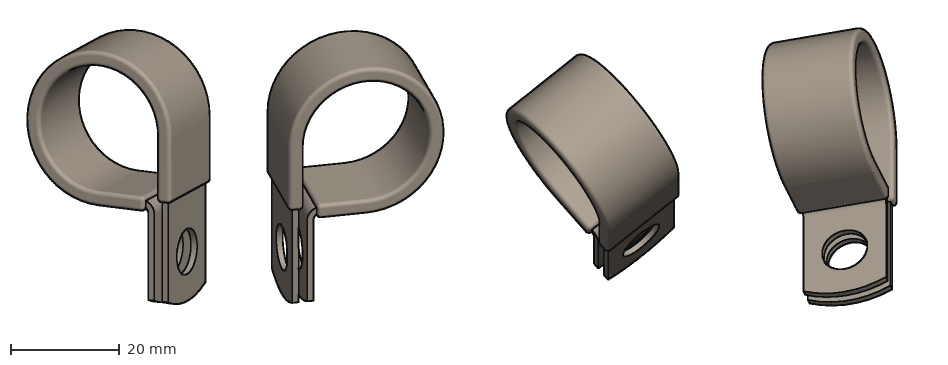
import cadquery as cq
import math

overall_height = 47.95
loop_outer_diameter = 29.4
loop_outer_radius = loop_outer_diameter / 2
cushion_thickness = 2.8
cushion_width = 17.45
edge_radius = 0.75
upright_end_z = -12.6
level_end_x = 9.3

strap_thickness = cushion_thickness - 2 * edge_radius
strap_width = 15.85
tab_x = 10.45
bend_inner_radius = 1.2
tab_bottom_z = loop_outer_radius - overall_height
tab_end_sagitta = 1.75
hole_diameter = 8.65
hole_z = -23.8

mid_radius = loop_outer_radius - cushion_thickness / 2
bend_mid_radius = bend_inner_radius + strap_thickness / 2
bend_start_x = tab_x - bend_mid_radius
bend_end_z = -mid_radius - bend_mid_radius


def box_between(x_min, x_max, z_min, z_max, width):
    """Box centred on Y = 0."""
    return (
        cq.Workplane("XY")
        .box(x_max - x_min, width, z_max - z_min)
        .translate(((x_min + x_max) / 2, 0, (z_min + z_max) / 2))
    )


def box_edges(body, x_min, x_max, z_min, z_max):
    """Edges of the body whose centres lie in the given X and Z ranges."""
    margin = 0.05
    return body.edges(cq.selectors.BoxSelector(
        (x_min - margin, -cushion_width, z_min - margin),
        (x_max + margin, cushion_width, z_max + margin),
    ))


def make_cushion():
    """Three-quarter loop with two straight legs and all its edges rounded."""
    outer = loop_outer_radius
    inner = outer - cushion_thickness
    diagonal = math.sqrt(0.5)
    profile = (
        cq.Workplane("XZ")
        .moveTo(outer, upright_end_z)
        .lineTo(outer, 0)
        .threePointArc((-outer * diagonal, outer * diagonal), (0, -outer))
        .lineTo(level_end_x, -outer)
        .lineTo(level_end_x, -inner)
        .lineTo(0, -inner)
        .threePointArc((-inner * diagonal, inner * diagonal), (inner, 0))
        .lineTo(inner, upright_end_z)
        .close()
    )
    body = profile.extrude(cushion_width / 2, both=True)
    side_edges = body.faces("<Y or >Y").edges()
    upright_end = box_edges(body, inner, outer, upright_end_z, upright_end_z)
    level_end = box_edges(body, level_end_x, level_end_x, -outer, -inner)
    return side_edges.add(upright_end).add(level_end).fillet(edge_radius)


def make_strap_ends():
    """Straight tab and bent tab, starting inside the cushion legs."""
    half = strap_thickness / 2
    straight_tab = box_between(
        mid_radius - half, mid_radius + half, tab_bottom_z, upright_end_z + 2 * edge_radius, strap_width
    )
    bent_tab = box_between(tab_x - half, tab_x + half, tab_bottom_z, bend_end_z, strap_width)
    bend_ring = (
        cq.Workplane("XZ")
        .center(bend_start_x, bend_end_z)
        .circle(bend_mid_radius + half)
        .circle(bend_inner_radius)
        .extrude(strap_width / 2, both=True)
    )
    bend_quarter = box_between(bend_start_x, tab_x + half, bend_end_z, -mid_radius + half, strap_width)
    return straight_tab.union(bent_tab).union(bend_ring.intersect(bend_quarter))


def make_tab_outline():
    """Side outline of the strap ends, with an arched bottom and the bolt hole."""
    half_width = strap_width / 2
    corner_z = tab_bottom_z + tab_end_sagitta
    outline = (
        cq.Workplane("YZ")
        .moveTo(-half_width, 0)
        .lineTo(-half_width, corner_z)
        .threePointArc((0, tab_bottom_z), (half_width, corner_z))
        .lineTo(half_width, 0)
        .close()
        .extrude(loop_outer_radius)
    )
    hole = (
        cq.Workplane("YZ")
        .center(0, hole_z)
        .circle(hole_diameter / 2)
        .extrude(loop_outer_radius)
    )
    return outline.cut(hole)


result = make_cushion().union(make_strap_ends().intersect(make_tab_outline()))